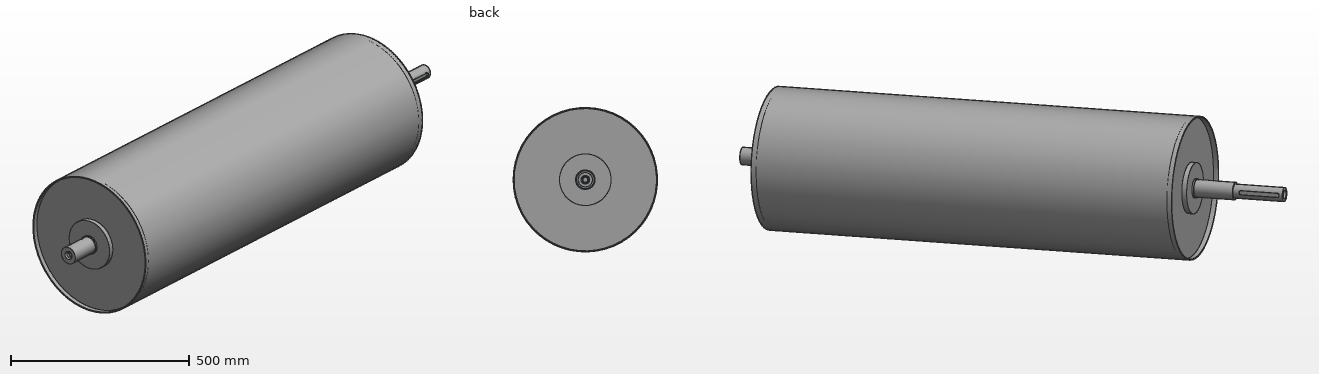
import cadquery as cq
import math

overall_length = 1610.0
drum_diameter = 405.0
drum_length = 1250.0
recess_diameter = 400.0
recess_depth = 15.0
hub_diameter = 145.0
hub_height = recess_depth

front_stub_length = 95.0
collar_diameter = 55.0
collar_length = 5.0
journal_diameter = 50.0
drive_diameter = 40.0
drive_length = 147.0

key_width = 12.0
key_depth = 5.0
key_length = 119.0
key_end_gap = 10.0

centre_mouth_diameter = 24.0
centre_bore_diameter = 18.0
centre_bore_depth = 13.0
centre_drill_diameter = 13.8
centre_drill_depth = 42.0
centre_cone_angle = 60.0

front_end = -overall_length / 2
back_end = overall_length / 2
drum_front = front_end + front_stub_length
drum_back = drum_front + drum_length
shoulder = back_end - drive_length


def cylinder(diameter, start, end):
    """Cylinder on the Y axis between two stations."""
    plane = cq.Plane(origin=(0, start, 0), xDir=(1, 0, 0), normal=(0, 1, 0))
    return cq.Workplane(plane).circle(diameter / 2).extrude(end - start)


def drum():
    """Drum with a recessed disc and a hub flush with the rim at each end."""
    body = cylinder(drum_diameter, drum_front, drum_back)
    for face, inward in ((drum_front, 1), (drum_back, -1)):
        floor = face + inward * recess_depth
        body = body.cut(cylinder(recess_diameter, face, floor))
        body = body.union(cylinder(hub_diameter, floor, floor - inward * hub_height))
    return body


def shaft():
    """Stepped shaft with collars just outside the drum ends."""
    body = cylinder(journal_diameter, front_end, shoulder)
    body = body.union(cylinder(collar_diameter, drum_front - collar_length, drum_back + collar_length))
    return body.union(cylinder(drive_diameter, shoulder, back_end))


def keyway():
    """Round-ended slot on the +X side of the drive end."""
    key_floor = drive_diameter / 2 - key_depth
    key_middle = back_end - key_end_gap - key_length / 2
    return (
        cq.Workplane("YZ", origin=(key_floor, key_middle, 0))
        .slot2D(key_length, key_width)
        .extrude(drive_diameter)
    )


def centre_hole(face, inward):
    """Countersunk, stepped blind hole entering a shaft end."""
    mouth_radius = centre_mouth_diameter / 2
    bore_radius = centre_bore_diameter / 2
    drill_radius = centre_drill_diameter / 2
    cone_depth = (mouth_radius - bore_radius) / math.tan(math.radians(centre_cone_angle / 2))
    profile = [
        (0, face),
        (mouth_radius, face),
        (bore_radius, face + inward * cone_depth),
        (bore_radius, face + inward * centre_bore_depth),
        (drill_radius, face + inward * centre_bore_depth),
        (drill_radius, face + inward * centre_drill_depth),
        (0, face + inward * centre_drill_depth),
    ]
    return cq.Workplane("XY").polyline(profile).close().revolve(360, (0, 0, 0), (0, 1, 0))


result = drum().union(shaft()).cut(keyway())
for end_face, inward_direction in ((front_end, 1), (back_end, -1)):
    result = result.cut(centre_hole(end_face, inward_direction))